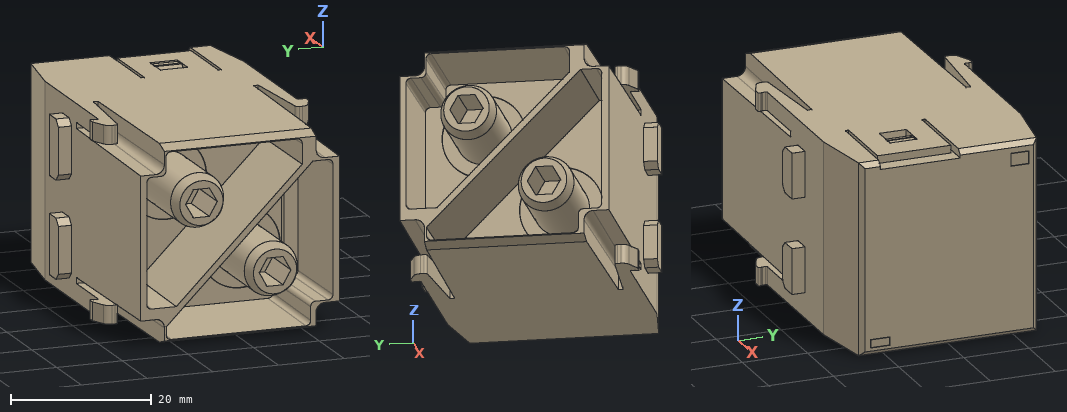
import cadquery as cq
import math

full_length = 49.2
length = 49.05
half_width = 15.15
half_height = 14.7
taper_start = 38.65
rear_half_width = 13.7
rear_chamfer = 0.75
mouth_chamfer_length = 1.95
mouth_chamfer_drop = 0.7

notch_length = 26.05
notch_mouth = (11.55, 10.75)
notch_end = (11.85, 11.0)
fillet_centre = (12.9, 12.05)

latch_bottom = 11.9
latch_tip = 13.3
latch_reach = 16.5
latch_root_y = 12.55
nose_inner_y = 13.6
nose_outer_y = 15.25
nose_inner_radius = 0.5
nose_outer_radius = 1.15
hook_peak = 16.05
hook_back = 17.3
hook_relief = 17.05
hook_tip_drop = 0.6
hook_tip_radius = 0.2

lug_start = 27.95
lug_end = 31.65
lug_span = 34.3
lug_reach = lug_span / 2
lug_chamfer = 1.0
lug_heights = {1: (2.8, 11.85), -1: (3.8, 10.77)}

chamber_depth = 14.75
chamber_corner = 0.75
upper_mouth = [
    (14.2, 10.4), (11.3, 10.4), (11.3, 13.85), (-9.45, 13.85),
    (-9.45, 10.1), (9.75, -9.1), (14.2, -9.1),
]
upper_floor = [
    (14.05, 10.4), (11.1, 10.4), (11.1, 13.6), (-9.2, 13.6),
    (-9.2, 10.2), (9.85, -8.85), (14.05, -8.85),
]
lower_mouth = [
    (-14.1, -10.4), (-10.75, -10.4), (-10.75, -13.85), (11.25, -13.85),
    (11.25, -11.95), (-11.05, 10.4), (-14.1, 10.4),
]
lower_floor = [
    (-13.95, -10.4), (-10.55, -10.4), (-10.55, -13.65), (11.0, -13.65),
    (11.0, -12.0), (-11.1, 10.15), (-13.95, 10.15),
]
sharp_corners = (4, 5)
ledge_edge_y = -11.85
ledge_height = 1.0

pin_offset = 5.6
pin_tip = 0.8
pin_radius = 4.05
pin_tip_radius = 3.3
pin_tip_length = 1.75
seat_radius = 6.05
seat_depth = 0.25
hex_across_corners = 4.8
hex_depth = 7.4

tongue_top_y = 1.2
tongue_bottom_y = -10.1
tongue_start = 35.6
tongue_end = 46.7
tongue_gap = 0.5
tongue_recess = 1.2

window_centre = (40.55, -4.45)
window_size = 4.15
window_depth = 1.4
window_draft = 8.0
ramp_top_start = 40.75
ramp_top_end = 41.3
catch_clearance = 0.1
catch_step = 0.1

pad_height = full_length - length
rear_pads = [((9.45, 12.15), (11.2, 13.15)), ((-12.1, -9.2), (-13.45, -12.2))]


def box(x_range, y_range, z_range):
    size = [high - low for low, high in (x_range, y_range, z_range)]
    return cq.Workplane("XY").box(*size, centered=False).translate((x_range[0], y_range[0], z_range[0]))


def housing():
    body = (
        cq.Workplane("XY", origin=(0, 0, -half_height))
        .polyline([
            (0, -half_width), (taper_start, -half_width), (length - rear_chamfer, -rear_half_width),
            (length, -rear_half_width + rear_chamfer), (length, rear_half_width - rear_chamfer),
            (length - rear_chamfer, rear_half_width), (taper_start, half_width), (0, half_width),
        ])
        .close()
        .extrude(2 * half_height)
    )
    side_outline = (
        cq.Workplane("XZ", origin=(0, half_width, 0))
        .polyline([
            (0, -half_height + mouth_chamfer_drop), (mouth_chamfer_length, -half_height),
            (length - rear_chamfer, -half_height), (length, -half_height + rear_chamfer),
            (length, half_height - rear_chamfer), (length - rear_chamfer, half_height),
            (mouth_chamfer_length, half_height), (0, half_height - mouth_chamfer_drop),
        ])
        .close()
        .extrude(2 * half_width)
    )
    return body.intersect(side_outline)


def notch_section(plane, corner):
    """Notch outline in the +Y +Z corner with a concave fillet at its inner corner."""
    y, z = corner
    tangent_y, tangent_z = fillet_centre
    mid_share = 1 - math.sqrt(0.5)
    mid = (y + (tangent_y - y) * mid_share, z + (tangent_z - z) * mid_share)
    outer = 2 * half_width
    return (
        plane.moveTo(outer, z).lineTo(tangent_y, z)
        .threePointArc(mid, (y, tangent_z))
        .lineTo(y, outer).lineTo(outer, outer).close()
    )


def corner_notch():
    section = notch_section(cq.Workplane("YZ"), notch_mouth)
    section = notch_section(section.workplane(offset=notch_length), notch_end)
    return section.loft(ruled=True)


def latch():
    """Wedge-shaped arm growing from the end of the notch, with a hook pointing to +Y."""
    arm = (
        cq.Workplane("XY", origin=(0, 0, latch_bottom))
        .polyline([
            (notch_length, latch_root_y), (latch_tip, nose_inner_y), (latch_tip, nose_outer_y),
            (hook_peak, latch_reach), (hook_back, latch_reach), (hook_relief, latch_reach - hook_tip_drop),
            (hook_relief, half_width), (notch_length, half_width),
        ])
        .close()
        .extrude(half_height - latch_bottom)
    )
    rounded_corners = (
        (latch_tip, nose_inner_y, nose_inner_radius),
        (latch_tip, nose_outer_y, nose_outer_radius),
        (hook_back, latch_reach, hook_tip_radius),
        (hook_relief, half_width, hook_tip_radius),
    )
    middle_z = (latch_bottom + half_height) / 2
    for x, y, radius in rounded_corners:
        arm = arm.edges(cq.NearestToPointSelector((x, y, middle_z))).fillet(radius)
    return arm


def at_four_corners(shape):
    upper = shape.union(shape.mirror("XZ"))
    return upper.union(upper.mirror("XY"))


def lug(side, bottom, top):
    block = box((lug_start, lug_end), (0, lug_reach), (bottom, top)).edges("|Y and <X").chamfer(lug_chamfer)
    return block if side > 0 else block.mirror("XZ")


def chamber(mouth, floor):
    """Drafted blind pocket; the two corners on the diagonal partition stay sharp."""
    pocket = (
        cq.Workplane("YZ").polyline(mouth).close()
        .workplane(offset=chamber_depth).polyline(floor).close()
        .loft(ruled=True)
    )
    for index, ((mouth_y, mouth_z), (floor_y, floor_z)) in enumerate(zip(mouth, floor)):
        if index not in sharp_corners:
            middle = (chamber_depth / 2, (mouth_y + floor_y) / 2, (mouth_z + floor_z) / 2)
            pocket = pocket.edges(cq.NearestToPointSelector(middle)).fillet(chamber_corner)
    return pocket


def floor_ledge():
    x_range = (chamber_depth - ledge_height, chamber_depth)
    return box(x_range, (-half_width, ledge_edge_y), (-half_height, half_height))


def pin(centre):
    rod = (
        cq.Workplane("XY")
        .moveTo(pin_tip, 0)
        .lineTo(pin_tip, pin_tip_radius)
        .lineTo(pin_tip + pin_tip_length, pin_radius)
        .lineTo(chamber_depth + seat_depth, pin_radius)
        .lineTo(chamber_depth + seat_depth, 0)
        .close()
        .revolve(360, (0, 0, 0), (1, 0, 0))
    )
    socket = cq.Workplane("YZ", origin=(pin_tip, 0, 0)).polygon(6, hex_across_corners).extrude(hex_depth)
    return rod.cut(socket).translate((0, *centre))


def pin_seat(centre):
    return (
        cq.Workplane("YZ", origin=(chamber_depth, 0, 0))
        .center(*centre)
        .circle(seat_radius)
        .extrude(seat_depth)
    )


def tongue_relief():
    recess_floor = half_height - tongue_recess
    outer = (tongue_bottom_y - tongue_gap, tongue_top_y + tongue_gap)
    surround = box((tongue_start, length), outer, (recess_floor, half_height))
    tongue = box((tongue_start, tongue_end), (tongue_bottom_y, tongue_top_y), (recess_floor, half_height))
    return surround.cut(tongue)


def window():
    return (
        cq.Workplane("XY", origin=(*window_centre, half_height))
        .rect(window_size, window_size)
        .extrude(-window_depth, taper=window_draft)
    )


def window_catch():
    ramp_start = window_centre[0] - window_size / 2
    ramp_back = ramp_start + window_size
    floor = half_height - window_depth
    top = half_height - catch_clearance
    return (
        cq.Workplane("XZ", origin=(0, window_centre[1] + window_size / 2, 0))
        .polyline([
            (ramp_start, floor), (ramp_top_start, top), (ramp_top_end, top),
            (ramp_top_end, top - catch_step), (ramp_back, top - catch_step), (ramp_back, floor),
        ])
        .close()
        .extrude(window_size)
    )


result = housing().cut(at_four_corners(corner_notch())).union(at_four_corners(latch()))

for side, (inner_z, outer_z) in lug_heights.items():
    result = result.union(lug(side, inner_z, outer_z)).union(lug(side, -outer_z, -inner_z))

result = result.cut(chamber(upper_mouth, upper_floor))
result = result.cut(chamber(lower_mouth, lower_floor).cut(floor_ledge()))

for pin_centre in ((pin_offset, pin_offset), (-pin_offset, -pin_offset)):
    result = result.cut(pin_seat(pin_centre)).union(pin(pin_centre))

result = result.cut(tongue_relief()).cut(window()).union(window_catch())

for y_range, z_range in rear_pads:
    result = result.union(box((length, length + pad_height), y_range, z_range))